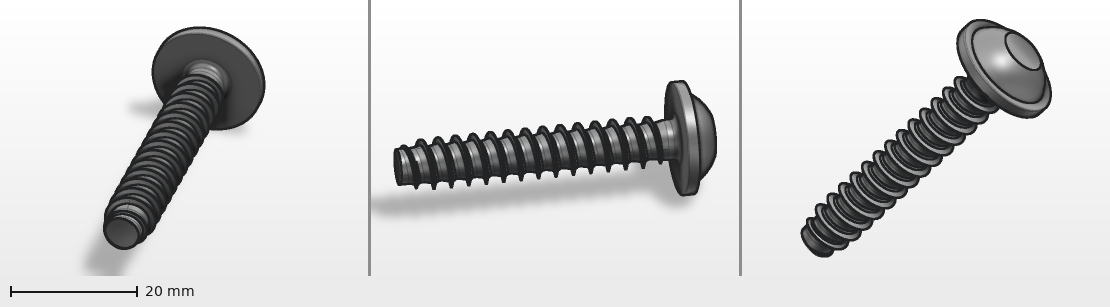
import cadquery as cq
import math

TOTAL_LENGTH = 50.6

DOME_TOP_RADIUS = 3.7
DOME_BASE_RADIUS = 7.45
DOME_HEIGHT = 3.7
FLANGE_RADIUS = 9.0
FLANGE_THICKNESS = 1.85
FLANGE_EDGE_RADIUS = 0.15

NECK_RADIUS = 3.2
NECK_FILLET = 1.0
NECK_LENGTH = 1.95
NECK_TAPER_LENGTH = 1.65
CORE_RADIUS = 2.85
DISH_DEPTH = 0.25

FULL_HEIGHT_TURNS = 12.75
FULL_HEIGHT_LENGTH = 35.95
PITCH = FULL_HEIGHT_LENGTH / FULL_HEIGHT_TURNS
CREST_RADIUS = 4.05
CREST_LAND = 0.1
FIRST_CREST_Y = -2.05
START_ANGLE = -90.0
RAMP_UP_TURNS = 1.0
RAMP_DOWN_TURNS = 1.75
START_HEIGHT_RATIO = 0.5
END_HEIGHT_RATIO = 0.02
ROOT_DEPTH_IN_CORE = 0.075
ROOT_RADIUS = CORE_RADIUS - ROOT_DEPTH_IN_CORE
FLANK_FOOT_RADIUS = 3.1
HEAD_SIDE_FOOT = 0.4
TIP_SIDE_FOOT = 0.25
HEAD_SIDE_ROOT = 0.95
TIP_SIDE_ROOT = 1.7
SPLINE_POINTS_PER_TURN = 16

THREAD_SECTION = [
    (HEAD_SIDE_ROOT, ROOT_RADIUS),
    (HEAD_SIDE_FOOT, FLANK_FOOT_RADIUS),
    (CREST_LAND / 2, CREST_RADIUS),
    (-CREST_LAND / 2, CREST_RADIUS),
    (-TIP_SIDE_FOOT, FLANK_FOOT_RADIUS),
    (-TIP_SIDE_ROOT, ROOT_RADIUS),
]

HEAD_HEIGHT = FLANGE_THICKNESS + DOME_HEIGHT
TIP_Y = HEAD_HEIGHT - TOTAL_LENGTH


def revolve_about_axis(profile):
    return profile.close().revolve(360, (0, 0, 0), (0, 1, 0))


def make_head():
    flange = (
        cq.Workplane("XZ")
        .circle(FLANGE_RADIUS)
        .extrude(-FLANGE_THICKNESS)
        .edges()
        .fillet(FLANGE_EDGE_RADIUS)
    )
    centre_height = (DOME_TOP_RADIUS**2 + DOME_HEIGHT**2 - DOME_BASE_RADIUS**2) / (2 * DOME_HEIGHT)
    sphere_radius = math.hypot(DOME_BASE_RADIUS, centre_height)
    middle_radius = math.sqrt(sphere_radius**2 - (DOME_HEIGHT / 2 - centre_height) ** 2)
    dome = revolve_about_axis(
        cq.Workplane("XY")
        .moveTo(0, FLANGE_THICKNESS)
        .lineTo(DOME_BASE_RADIUS, FLANGE_THICKNESS)
        .threePointArc((middle_radius, FLANGE_THICKNESS + DOME_HEIGHT / 2), (DOME_TOP_RADIUS, HEAD_HEIGHT))
        .lineTo(0, HEAD_HEIGHT)
    )
    return flange.union(dome)


def make_shank():
    dish_radius = (CORE_RADIUS**2 + DISH_DEPTH**2) / (2 * DISH_DEPTH)
    dish_middle_x = CORE_RADIUS / 2
    dish_middle_y = TIP_Y + DISH_DEPTH - dish_radius + math.sqrt(dish_radius**2 - dish_middle_x**2)
    return revolve_about_axis(
        cq.Workplane("XY")
        .moveTo(0, FLANGE_THICKNESS / 2)
        .lineTo(NECK_RADIUS + NECK_FILLET, FLANGE_THICKNESS / 2)
        .lineTo(NECK_RADIUS + NECK_FILLET, 0)
        .radiusArc((NECK_RADIUS, -NECK_FILLET), -NECK_FILLET)
        .lineTo(NECK_RADIUS, -NECK_LENGTH)
        .lineTo(CORE_RADIUS, -NECK_LENGTH - NECK_TAPER_LENGTH)
        .lineTo(CORE_RADIUS, TIP_Y)
        .threePointArc((dish_middle_x, dish_middle_y), (0, TIP_Y + DISH_DEPTH))
    )


def section_point(corner, turn, height_ratio):
    """Place one corner of the thread section after a number of turns from the thread start."""
    offset, full_radius = corner
    radius = ROOT_RADIUS + height_ratio * (full_radius - ROOT_RADIUS)
    angle = math.radians(START_ANGLE) - 2 * math.pi * turn
    y = FIRST_CREST_Y - PITCH * turn + offset
    return cq.Vector(radius * math.sin(angle), y, radius * math.cos(angle))


def corner_curve(corner, first_turn, turns, first_ratio, last_ratio):
    count = math.ceil(turns * SPLINE_POINTS_PER_TURN)
    points = []
    for i in range(count + 1):
        fraction = i / count
        ratio = first_ratio + fraction * (last_ratio - first_ratio)
        points.append(section_point(corner, first_turn + fraction * turns, ratio))
    return cq.Edge.makeSpline(points)


def end_cap(turn, height_ratio):
    corners = [section_point(corner, turn, height_ratio) for corner in THREAD_SECTION]
    return cq.Face.makeFromWires(cq.Wire.makePolygon(corners, close=True))


def make_thread():
    stretches = [
        (RAMP_UP_TURNS, START_HEIGHT_RATIO, 1.0),
        (FULL_HEIGHT_TURNS, 1.0, 1.0),
        (RAMP_DOWN_TURNS, 1.0, END_HEIGHT_RATIO),
    ]
    faces = [end_cap(0, START_HEIGHT_RATIO)]
    turn = 0
    for turns, first_ratio, last_ratio in stretches:
        curves = [corner_curve(corner, turn, turns, first_ratio, last_ratio) for corner in THREAD_SECTION]
        for i, curve in enumerate(curves):
            faces.append(cq.Face.makeRuledSurface(curves[i - 1], curve))
        turn += turns
    faces.append(end_cap(turn, END_HEIGHT_RATIO))
    return cq.Workplane(cq.Solid.makeSolid(cq.Shell.makeShell(faces)).fix())


beyond_tip = cq.Workplane("XZ", origin=(0, TIP_Y, 0)).circle(FLANGE_RADIUS).extrude(2 * PITCH)
thread = make_thread().cut(beyond_tip)
result = make_head().union(make_shank()).union(thread)